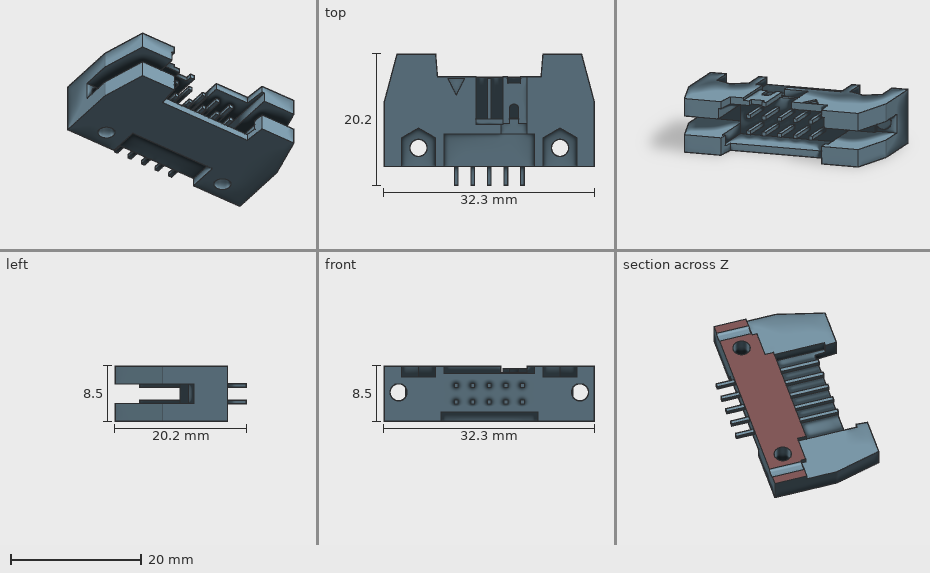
import cadquery as cq
import math


width = 32.3
height = 8.5
depth = 17.3
straight_side = 9.98
ear_outer_x = 14.2
ear_inner_x = 8.23
bay_root_x = 7.95
shroud_depth = 13.83

wall = 1.13
cavity_half_width = 8.65
cavity_floor_y = 7.35
lower_rim_y = 13.75
lug_start_y = 15.5

latch_height = 2.95
latch_floor_y = 5.98
latch_heel_x = 12.9
latch_heel_y = 5.2

pin_rows = 2
pin_columns = 5
pitch = 2.54
pin_size = 0.6
pin_tail = 2.9
pin_tip_y = 13.52

hole_diameter = 2.6
end_hole_x = 13.94
end_hole_z = 4.47
mount_hole_x = 10.88
mount_hole_y = 2.87

nut_flats = 5.28
nut_depth = 1.65

recess_y = 5.04
top_recess_width = 13.9
top_recess_depth = wall
bottom_recess_width = 14.9
bottom_recess_depth = 1.45

key_half_width = 2.07
key_end_y = 6.43
key_depth = wall

channel_left_x = 1.77
channel_right_x = 5.82
channel_depth = 1.0
tongue_left_x = key_half_width
tongue_front_y = 6.65
tongue_drop = 0.4
slit_width = 1.43
slit_x = 3.8
slit_end_y = 9.6
slit_floor_end_y = 7.46
rim_notch_width = 2.05
rim_notch_depth = 1.0

mark_x = -2 * pitch
mark_half_width = 1.27
mark_base_y = 13.52
mark_length = 2.52
mark_depth = 0.25

mid_z = height / 2


def box(x_range, y_range, z_range):
    """Axis-aligned box between pairs of limits."""
    sizes = [high - low for low, high in (x_range, y_range, z_range)]
    corner = (x_range[0], y_range[0], z_range[0])
    return cq.Workplane("XY").box(*sizes, centered=False).translate(corner)


def make_housing():
    right_side = [
        (width / 2, 0),
        (width / 2, straight_side),
        (ear_outer_x, depth),
        (ear_inner_x, depth),
        (bay_root_x, shroud_depth),
    ]
    left_side = [(-x, y) for x, y in reversed(right_side)]
    return cq.Workplane("XY").polyline(right_side + left_side).close().extrude(height)


def make_cavity():
    """Mating cavity, less the lugs left standing on the lower ear tips."""
    cavity = box(
        (-cavity_half_width, cavity_half_width),
        (cavity_floor_y, depth),
        (wall, height - wall),
    )
    for x_range in ((-cavity_half_width, -bay_root_x), (bay_root_x, cavity_half_width)):
        lug = box(x_range, (lug_start_y, depth), (wall, mid_z - latch_height / 2))
        cavity = cavity.cut(lug)
    return cavity


def make_lower_rim_trim():
    return box((-bay_root_x, bay_root_x), (lower_rim_y, shroud_depth), (0, wall))


def make_latch_slots():
    z_range = (mid_z - latch_height / 2, mid_z + latch_height / 2)
    slots = box((-width / 2, width / 2), (latch_floor_y, depth), z_range)
    core = box((-cavity_half_width, cavity_half_width), (latch_floor_y, depth), z_range)
    slots = slots.cut(core)
    for x_range in ((-width / 2, -latch_heel_x), (latch_heel_x, width / 2)):
        slots = slots.union(box(x_range, (latch_heel_y, latch_floor_y), z_range))
    return slots


def make_end_holes():
    """Holes along Y from the solder-side face into the latch slots."""
    return (
        cq.Workplane("XZ")
        .pushPoints([(-end_hole_x, end_hole_z), (end_hole_x, end_hole_z)])
        .circle(hole_diameter / 2)
        .extrude(-latch_heel_y)
    )


def make_mounting(x):
    """Vertical hole with a pointed nut pocket open to the solder-side face."""
    half = nut_flats / 2
    shoulder_y = mount_hole_y + half * math.tan(math.radians(30))
    point_y = mount_hole_y + half / math.cos(math.radians(30))
    pocket = (
        cq.Workplane("XY", origin=(x, 0, height - nut_depth))
        .polyline([(-half, 0), (half, 0), (half, shoulder_y), (0, point_y), (-half, shoulder_y)])
        .close()
        .extrude(nut_depth)
    )
    hole = cq.Workplane("XY").center(x, mount_hole_y).circle(hole_diameter / 2).extrude(height)
    return pocket.union(hole)


def make_edge_recesses():
    top = box(
        (-top_recess_width / 2, top_recess_width / 2),
        (0, recess_y),
        (height - top_recess_depth, height),
    )
    bottom = box(
        (-bottom_recess_width / 2, bottom_recess_width / 2),
        (0, recess_y),
        (0, bottom_recess_depth),
    )
    return top.union(bottom)


def make_key_slot():
    return box(
        (-key_half_width, key_half_width),
        (key_end_y, shroud_depth),
        (height - key_depth, height),
    )


def make_slit():
    """Round-ended slit through the tongue, floored at its open end."""
    radius = slit_width / 2
    arc_y = slit_end_y - radius
    slit = (
        cq.Workplane("XY", origin=(slit_x, 0, height - wall))
        .moveTo(-radius, tongue_front_y)
        .lineTo(radius, tongue_front_y)
        .lineTo(radius, arc_y)
        .threePointArc((0, slit_end_y), (-radius, arc_y))
        .close()
        .extrude(wall)
    )
    floor = box(
        (slit_x - radius, slit_x + radius),
        (tongue_front_y, slit_floor_end_y),
        (height - wall, height - channel_depth),
    )
    return slit.cut(floor)


def make_channel():
    """Space in front of the tongue and above it, with its slit and rim notch."""
    front = box(
        (channel_left_x, channel_right_x),
        (recess_y, tongue_front_y),
        (height - channel_depth, height),
    )
    above = box(
        (tongue_left_x, channel_right_x),
        (tongue_front_y, shroud_depth),
        (height - tongue_drop, height),
    )
    notch = box(
        (slit_x - rim_notch_width / 2, slit_x + rim_notch_width / 2),
        (shroud_depth - rim_notch_depth, shroud_depth),
        (height - wall, height),
    )
    return front.union(above).union(make_slit()).union(notch)


def make_pin_mark():
    return (
        cq.Workplane("XY", origin=(mark_x, mark_base_y, height - mark_depth))
        .polyline([(-mark_half_width, 0), (mark_half_width, 0), (0, -mark_length)])
        .close()
        .extrude(mark_depth)
    )


def make_pins():
    return (
        cq.Workplane("XZ", origin=(0, pin_tip_y, mid_z))
        .rarray(pitch, pitch, pin_columns, pin_rows)
        .rect(pin_size, pin_size)
        .extrude(pin_tip_y + pin_tail)
    )


result = make_housing()
result = result.cut(make_cavity())
result = result.cut(make_lower_rim_trim())
result = result.cut(make_latch_slots())
result = result.cut(make_end_holes())
for side in (-1, 1):
    result = result.cut(make_mounting(side * mount_hole_x))
result = result.cut(make_edge_recesses())
result = result.cut(make_key_slot())
result = result.cut(make_channel())
result = result.cut(make_pin_mark())
result = result.union(make_pins())